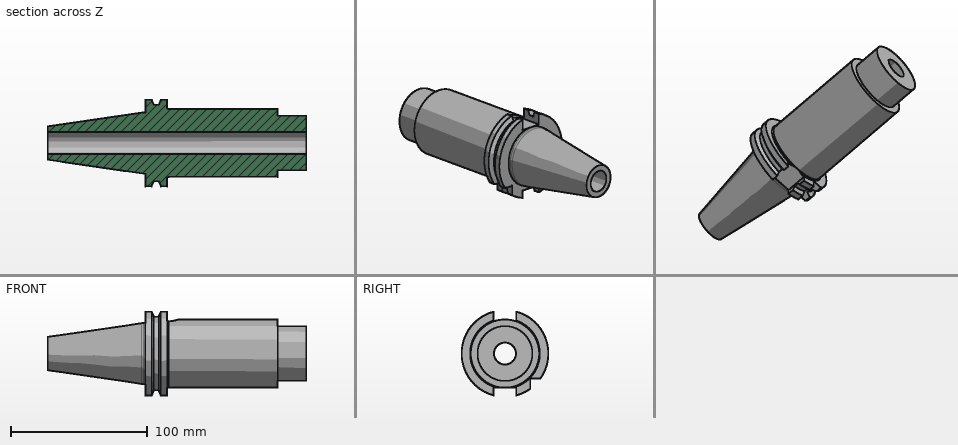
import cadquery as cq

total_length = 189.3

gauge_diameter = 44.5
gauge_radius = gauge_diameter / 2
gauge_x = 68.3
neck_step_x = 70.0
neck_radius = 22.5
taper_slope = 7 / 24 / 2
small_end_radius = gauge_radius - taper_slope * gauge_x

flange_x = 71.5
flange_width = 15.9
flange_radius = 31.8
flange_end = flange_x + flange_width
groove_radius = 28.2
groove_floor_width = 3.5
groove_mouth_width = 6.8
groove_x = flange_x + flange_width / 2

body_radius = 25.0
shoulder_radius = 25.5
shoulder_width = 1.1
nose_x = 168.3
nose_radius = 20.0

bore_radius = 8.0

slot_width = 16.5
top_slot_floor = 22.5
bottom_slot_floor = body_radius

notch_y = 18.5
notch_z = 18.4


def turned_blank():
    profile = [
        (0, 0),
        (0, small_end_radius),
        (gauge_x, gauge_radius),
        (neck_step_x, neck_radius),
        (flange_x, neck_radius),
        (flange_x, flange_radius),
        (groove_x - groove_mouth_width / 2, flange_radius),
        (groove_x - groove_floor_width / 2, groove_radius),
        (groove_x + groove_floor_width / 2, groove_radius),
        (groove_x + groove_mouth_width / 2, flange_radius),
        (flange_end, flange_radius),
        (flange_end, shoulder_radius),
        (flange_end + shoulder_width, body_radius),
        (nose_x, body_radius),
        (nose_x, nose_radius),
        (total_length, nose_radius),
        (total_length, 0),
    ]
    return cq.Workplane("XY").polyline(profile).close().revolve(360, (0, 0, 0), (1, 0, 0))


def drive_slot(floor_z, end_z):
    """Slot open at the front flange face, with a round end centred at the back face."""
    half_width = slot_width / 2
    return (
        cq.Workplane("XY")
        .workplane(offset=floor_z)
        .moveTo(flange_x, -half_width)
        .lineTo(flange_end, -half_width)
        .threePointArc((flange_end + half_width, 0), (flange_end, half_width))
        .lineTo(flange_x, half_width)
        .close()
        .extrude(end_z - floor_z)
    )


def orientation_notch():
    """Square-cornered cut through the full flange width."""
    return cq.Workplane("XY").box(flange_width, flange_radius, flange_radius, centered=False).translate(
        (flange_x, notch_y, -notch_z - flange_radius)
    )


def bore():
    return cq.Workplane("YZ").circle(bore_radius).extrude(total_length)


result = (
    turned_blank()
    .cut(bore())
    .cut(drive_slot(top_slot_floor, flange_radius))
    .cut(drive_slot(-bottom_slot_floor, -flange_radius))
    .cut(orientation_notch())
)